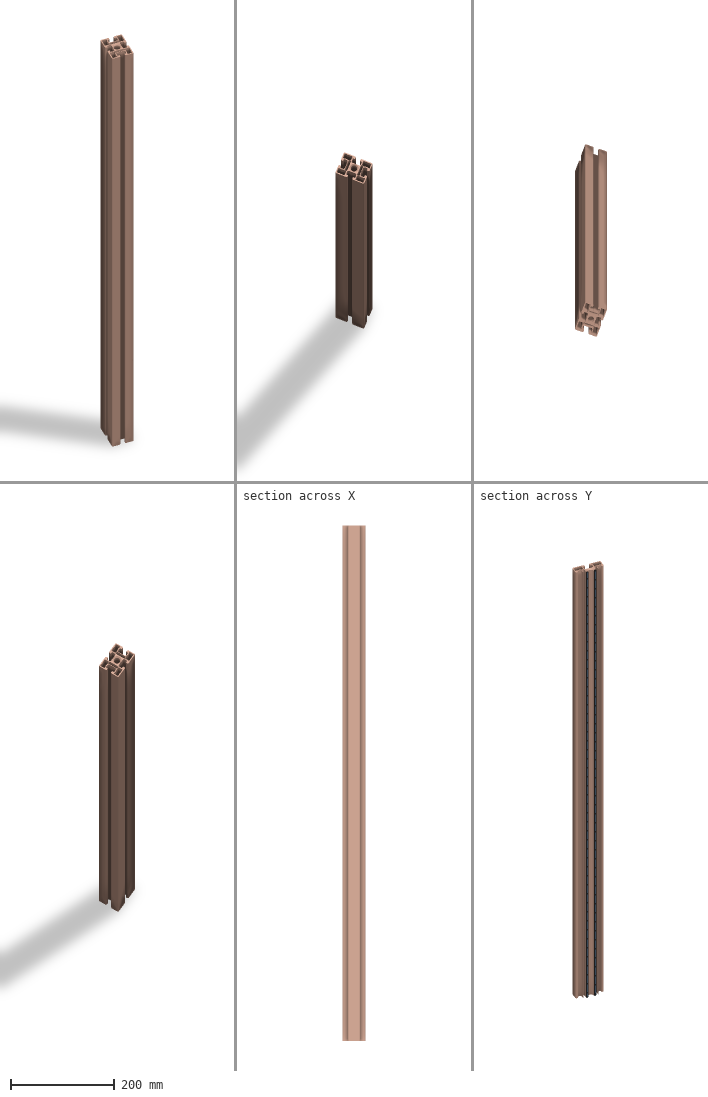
import cadquery as cq


length = 1000.0
width = 60.0
depth = 45.0
corner_radius = 2.0

mouth_half = 5.0
mouth_chamfer = 1.5
lip_depth = 5.0
chamber_half = 9.5
chamber_side_depth = 11.5
floor_half = 8.0
slot_depth = 13.5
groove_half = 1.0
groove_depth = 0.5

bore_radius = 6.0
countersink_radius = 8.5
countersink_depth = countersink_radius - bore_radius

outer_wall = 2.0
hollow_x_min = 11.5
hollow_x_max = width / 2 - outer_wall
hollow_y_min = 11.0
hollow_y_max = depth / 2 - outer_wall
rib_height = 0.5
rib_slope = 0.5
inner_rib_x = (19.0, 24.0)
outer_rib_x = (21.0, 23.0)

channel_x_min = 10.5
channel_wall = 1.0
channel_x_max = width / 2 - slot_depth - channel_wall
channel_half_height = 10.5


def prism(points):
    """Closed XY outline extruded over the full length."""
    return cq.Workplane("XY").polyline(points).close().extrude(length)


def slot(face_distance):
    """T-slot cutter for a face at the given distance from the axis, opening toward +Y."""
    half_section = [
        (mouth_half + mouth_chamfer, 0),
        (mouth_half, mouth_chamfer),
        (mouth_half, lip_depth),
        (chamber_half, lip_depth),
        (chamber_half, chamber_side_depth),
        (floor_half, slot_depth),
        (groove_half, slot_depth),
    ]
    groove_bottom = (0, face_distance - slot_depth - groove_depth)
    right_side = [(x, face_distance - d) for x, d in half_section]
    left_side = [(-x, y) for x, y in reversed(right_side)]
    return prism(right_side + [groove_bottom] + left_side)


def rib(x_range, wall_y, height):
    """Points of a low rib standing on a hollow's wall, in order of rising X."""
    start, end = x_range
    return [
        (start - rib_slope, wall_y),
        (start, wall_y + height),
        (end, wall_y + height),
        (end + rib_slope, wall_y),
    ]


def corner_hollow(side_x, side_y):
    """Hollow of one corner, with a low rib on its inner and its outer wall."""
    outline = [(hollow_x_min, hollow_y_min)]
    outline += rib(inner_rib_x, hollow_y_min, rib_height)
    outline += [(hollow_x_max, hollow_y_min), (hollow_x_max, hollow_y_max)]
    outline += reversed(rib(outer_rib_x, hollow_y_max, -rib_height))
    outline += [(hollow_x_min, hollow_y_max)]
    return prism([(side_x * x, side_y * y) for x, y in outline])


def channel(side_x):
    """Flat rectangular channel beside the core."""
    middle = side_x * (channel_x_min + channel_x_max) / 2
    channel_width = channel_x_max - channel_x_min
    return cq.Workplane("XY").center(middle, 0).rect(channel_width, 2 * channel_half_height).extrude(length)


def bore():
    """Through bore with a 45 degree countersink at the top end."""
    hole = cq.Workplane("XY").circle(bore_radius).extrude(length)
    countersink = (
        cq.Workplane("XY", origin=(0, 0, length - countersink_depth))
        .circle(bore_radius)
        .workplane(offset=countersink_depth)
        .circle(countersink_radius)
        .loft()
    )
    return hole.union(countersink)


result = cq.Workplane("XY").box(width, depth, length, centered=(True, True, False))
result = result.edges("|Z").fillet(corner_radius)

for angle, face_distance in ((0, depth / 2), (90, width / 2), (180, depth / 2), (270, width / 2)):
    result = result.cut(slot(face_distance).rotate((0, 0, 0), (0, 0, 1), angle))

for side_x in (-1, 1):
    result = result.cut(channel(side_x))
    for side_y in (-1, 1):
        result = result.cut(corner_hollow(side_x, side_y))

result = result.cut(bore())